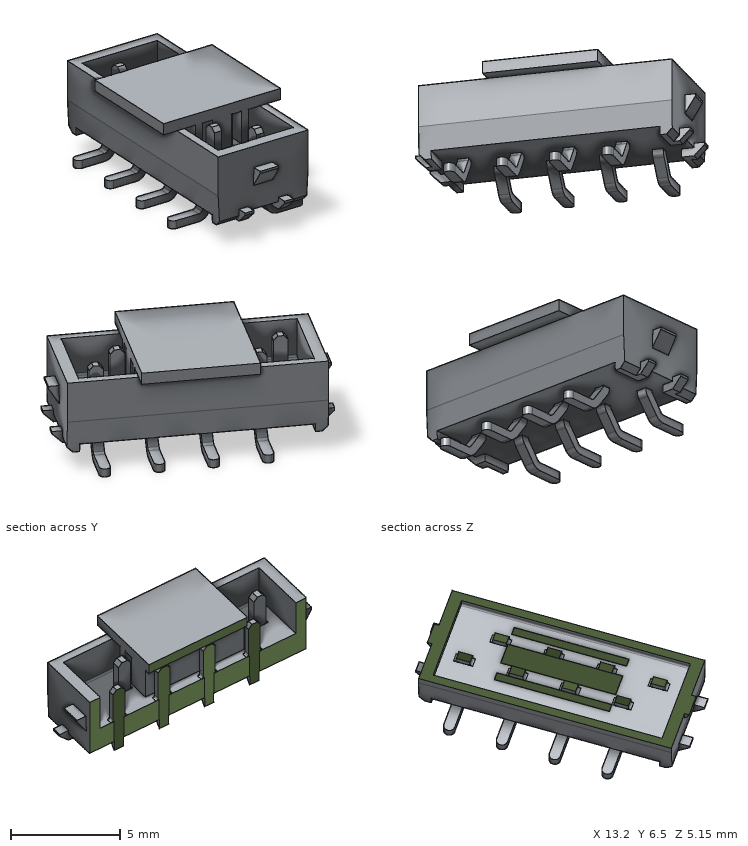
import cadquery as cq
import math

HOUSING_LENGTH = 12.19
HOUSING_WIDTH = 5.0
HOUSING_TOP = 4.58
DRAFT_LINE_Z = 2.59
UNDERSIDE_Z = 1.38
FOOT_BOTTOM_Z = 0.99
FOOT_BOTTOM_WIDTH = 4.83
END_WALL = 0.6
CAVITY_WIDTH = 4.18
FLOOR_Z = 2.66
FLOOR_FILLET = 0.09

FOOT_LENGTH = 0.6
FOOT_INNER_Y = 0.85
FOOT_CHAMFER = 0.28

OVERALL_LENGTH = 13.19
NOSE_HEIGHT = 0.12
LATCH_TOP_Z = 3.5
LATCH_TOP_WIDTH = 1.02
LATCH_BOTTOM_WIDTH = 1.1
HOOK_TOP_Z = 1.6
HOOK_WIDTH = 0.5

PINS_PER_ROW = 4
PIN_SPAN = 8.89
PIN_ROW_Y = 0.74
PIN_THICKNESS = 0.41
LEG_WIDTH = 0.53
BLADE_WIDTH = 0.69
BLADE_TOP_Z = 4.55
BLADE_TIP_WIDTH = 0.29
BLADE_TIP_HEIGHT = 0.21
BLADE_FLARE = 0.12
BEND_RADIUS = 0.21
LEG_SLOPE = 52
FOOT_SPAN = 6.5

CAP_LENGTH = 5.54
CAP_WIDTH = FOOT_SPAN
CAP_TOP = 5.15
RIB_BOTTOM_Z = 2.93
CENTRE_RIB_WIDTH = 2 * PIN_ROW_Y - PIN_THICKNESS
SIDE_RIB_Y = 1.28
SIDE_RIB_WIDTH = 0.4

HALF_LENGTH = HOUSING_LENGTH / 2
HALF_WIDTH = HOUSING_WIDTH / 2


def block(length, width, bottom, top, x=0, y=0):
    """Upright box centred on (x, y) between two heights."""
    return cq.Workplane("XY").box(length, width, top - bottom, centered=(True, True, False)).translate(
        (x, y, bottom)
    )


def both_ends(shape):
    """The shape together with its mirror image at the +X end."""
    return shape.union(shape.mirror("YZ"))


def housing_shell():
    """Full-height body with drawn-in lower sides, feet at its corners and an open cavity."""
    bottom_half_width = FOOT_BOTTOM_WIDTH / 2
    section = [
        (-HALF_WIDTH, HOUSING_TOP),
        (-HALF_WIDTH, DRAFT_LINE_Z),
        (-bottom_half_width, FOOT_BOTTOM_Z),
        (bottom_half_width, FOOT_BOTTOM_Z),
        (HALF_WIDTH, DRAFT_LINE_Z),
        (HALF_WIDTH, HOUSING_TOP),
    ]
    shell = cq.Workplane("YZ").polyline(section).close().extrude(HALF_LENGTH, both=True)
    shell = shell.faces("<Z").edges("|Y").chamfer(FOOT_CHAMFER)

    middle_length = HOUSING_LENGTH - 2 * FOOT_LENGTH
    shell = shell.cut(block(middle_length, HOUSING_WIDTH, FOOT_BOTTOM_Z, UNDERSIDE_Z))
    shell = shell.cut(block(HOUSING_LENGTH, 2 * FOOT_INNER_Y, FOOT_BOTTOM_Z, UNDERSIDE_Z))

    cavity = block(HOUSING_LENGTH - 2 * END_WALL, CAVITY_WIDTH, FLOOR_Z, HOUSING_TOP)
    return shell.cut(cavity.faces("<Z").edges("|X").fillet(FLOOR_FILLET))


def latch():
    """Central wedge on the -X end, its flanks spreading slightly towards the bottom."""
    nose_x = -OVERALL_LENGTH / 2
    profile = [
        (-HALF_LENGTH, LATCH_TOP_Z),
        (nose_x, LATCH_TOP_Z),
        (nose_x, LATCH_TOP_Z - NOSE_HEIGHT),
        (-HALF_LENGTH, DRAFT_LINE_Z),
    ]
    wedge = cq.Workplane("XZ").polyline(profile).close().extrude(LATCH_BOTTOM_WIDTH / 2, both=True)
    flanks = [
        (-LATCH_TOP_WIDTH / 2, LATCH_TOP_Z),
        (LATCH_TOP_WIDTH / 2, LATCH_TOP_Z),
        (LATCH_BOTTOM_WIDTH / 2, DRAFT_LINE_Z),
        (-LATCH_BOTTOM_WIDTH / 2, DRAFT_LINE_Z),
    ]
    return wedge.intersect(
        cq.Workplane("YZ").polyline(flanks).close().extrude(OVERALL_LENGTH, both=True)
    )


def hook(y):
    """Small wedge on the -X end that also fills the foot chamfer behind it."""
    nose_x = -OVERALL_LENGTH / 2
    root_x = -HALF_LENGTH + FOOT_CHAMFER
    profile = [
        (root_x, HOOK_TOP_Z),
        (nose_x, HOOK_TOP_Z),
        (nose_x, HOOK_TOP_Z - NOSE_HEIGHT),
        (-HALF_LENGTH, FOOT_BOTTOM_Z),
        (root_x, FOOT_BOTTOM_Z),
    ]
    wedge = cq.Workplane("XZ").polyline(profile).close().extrude(HOOK_WIDTH / 2, both=True)
    return wedge.translate((0, y, 0))


def pin_places():
    """(x, side) of every pin; side is -1 for the -Y row and +1 for the +Y row."""
    count = 2 * PINS_PER_ROW
    pitch = PIN_SPAN / (count - 1)
    return [(i * pitch - PIN_SPAN / 2, 1 if i % 2 else -1) for i in range(count)]


def make_housing():
    housing = housing_shell().union(both_ends(latch()))
    hook_y = FOOT_INNER_Y + HOOK_WIDTH / 2
    for y in (-hook_y, hook_y):
        housing = housing.union(both_ends(hook(y)))
    for x, side in pin_places():
        housing = housing.cut(
            block(LEG_WIDTH, PIN_THICKNESS, UNDERSIDE_Z, FLOOR_Z, x, side * PIN_ROW_Y)
        )
    return housing


def pin_blade():
    """Contact blade above the floor, with a bevelled tip and a flared root."""
    half_blade = BLADE_WIDTH / 2
    half_root = half_blade + BLADE_FLARE
    half_tip = BLADE_TIP_WIDTH / 2
    shoulder_z = BLADE_TOP_Z - BLADE_TIP_HEIGHT
    flare_top_z = FLOOR_Z + BLADE_FLARE
    flare_inset = BLADE_FLARE * (1 - math.sqrt(0.5))
    outline = (
        cq.Workplane("XZ")
        .moveTo(-half_root, FLOOR_Z)
        .threePointArc((-half_blade - flare_inset, FLOOR_Z + flare_inset), (-half_blade, flare_top_z))
        .lineTo(-half_blade, shoulder_z)
        .lineTo(-half_tip, BLADE_TOP_Z)
        .lineTo(half_tip, BLADE_TOP_Z)
        .lineTo(half_blade, shoulder_z)
        .lineTo(half_blade, flare_top_z)
        .threePointArc((half_blade + flare_inset, FLOOR_Z + flare_inset), (half_root, FLOOR_Z))
        .close()
    )
    return outline.extrude(PIN_THICKNESS / 2, both=True).translate((0, PIN_ROW_Y, 0))


def pin_leg():
    """Leg through the floor that bends outwards twice to a flat soldering foot with a rounded end."""
    outer_radius = BEND_RADIUS + PIN_THICKNESS
    inner_y = PIN_ROW_Y - PIN_THICKNESS / 2
    outer_y = PIN_ROW_Y + PIN_THICKNESS / 2
    upper_centre = (outer_y + BEND_RADIUS, UNDERSIDE_Z)
    turn = 90 - LEG_SLOPE
    tip_y = FOOT_SPAN / 2

    def on_bend(centre, radius, degrees):
        """Point on a bend, the angle counted from the -Y direction towards -Z."""
        angle = math.radians(degrees)
        return centre[0] - radius * math.cos(angle), centre[1] - radius * math.sin(angle)

    drop = upper_centre[1] - outer_radius
    slope = math.radians(LEG_SLOPE)
    lower_centre = (upper_centre[0] + drop / math.tan(slope), outer_radius)

    outline = (
        cq.Workplane("YZ")
        .moveTo(inner_y, FLOOR_Z)
        .lineTo(inner_y, UNDERSIDE_Z)
        .threePointArc(
            on_bend(upper_centre, outer_radius, turn / 2), on_bend(upper_centre, outer_radius, turn)
        )
        .lineTo(*on_bend(lower_centre, outer_radius, turn))
        .threePointArc(
            on_bend(lower_centre, outer_radius, (turn + 90) / 2), on_bend(lower_centre, outer_radius, 90)
        )
        .lineTo(tip_y, 0)
        .lineTo(tip_y, PIN_THICKNESS)
        .lineTo(*on_bend(lower_centre, BEND_RADIUS, 90))
        .threePointArc(
            on_bend(lower_centre, BEND_RADIUS, (turn + 90) / 2), on_bend(lower_centre, BEND_RADIUS, turn)
        )
        .lineTo(*on_bend(upper_centre, BEND_RADIUS, turn))
        .threePointArc(
            on_bend(upper_centre, BEND_RADIUS, turn / 2), on_bend(upper_centre, BEND_RADIUS, 0)
        )
        .lineTo(outer_y, FLOOR_Z)
        .close()
    )
    leg = outline.extrude(LEG_WIDTH / 2, both=True)
    rounded_plan = cq.Workplane("XY").slot2D(FOOT_SPAN, LEG_WIDTH, 90).extrude(FLOOR_Z)
    return leg.intersect(rounded_plan)


def make_pin(x, side):
    """Pin at x, its foot pointing to the given side."""
    pin = pin_leg().union(pin_blade())
    if side < 0:
        pin = pin.rotate((0, 0, 0), (0, 0, 1), 180)
    return pin.translate((x, 0, 0))


def make_cap():
    """Flat plate resting on the housing, with lengthwise ribs reaching down around the pin rows."""
    cap = block(CAP_LENGTH, CAP_WIDTH, HOUSING_TOP, CAP_TOP)
    cap = cap.union(block(CAP_LENGTH, CENTRE_RIB_WIDTH, RIB_BOTTOM_Z, HOUSING_TOP))
    for y in (-SIDE_RIB_Y, SIDE_RIB_Y):
        cap = cap.union(block(CAP_LENGTH, SIDE_RIB_WIDTH, RIB_BOTTOM_Z, HOUSING_TOP, y=y))
    return cap


housing = make_housing()
cap = make_cap()
pins = [make_pin(x, side) for x, side in pin_places()]

result = cq.Compound.makeCompound([housing.val(), cap.val(), *[pin.val() for pin in pins]])